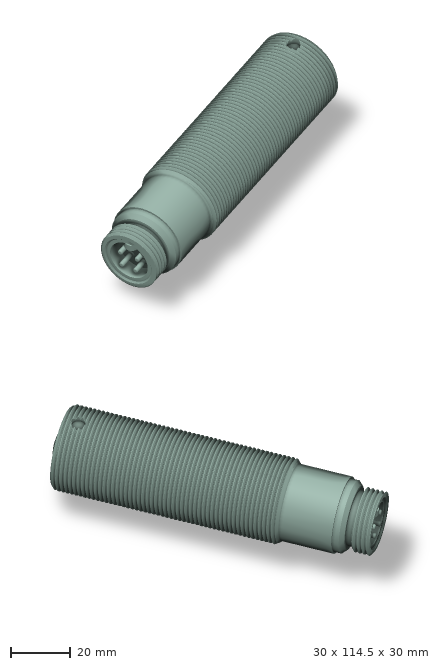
import cadquery as cq
import math

total_length = 114.5

sleeve_start = 31.0
sleeve_end = 111.7
sleeve_crest_radius = 15.0
sleeve_thread_turns = 53
sleeve_thread_depth = 1.1
sleeve_pitch = (sleeve_end - sleeve_start) / sleeve_thread_turns
sleeve_front_chamfer = 1.6
sleeve_rear_chamfer = 1.3
window_diameter = 4.8
window_from_sleeve_end = 5.7

rod_radius = 12.7
lens_radius = 8.9
lens_height = total_length - sleeve_end
barrel_radius = sleeve_crest_radius - sleeve_front_chamfer
barrel_start = 12.6
shoulder_radius = 12.7
shoulder_start = 8.7
shoulder_chamfer = 1.5
neck_radius = 9.6

connector_crest_radius = 11.2
connector_thread_length = 6.5
connector_thread_depth = 0.97
connector_pitch = 1.6
connector_crest_y = 0.1
insert_radius = 8.8
insert_recess = 0.6
socket_radius = 7.4
socket_depth = 6.3

pin_radius = 0.9
pin_tip_y = 0.1
pin_tip_fillet = 0.5
collar_radius = 1.6
collar_length = 0.6
pin_upper_half_spacing = 3.3
pin_upper_z = 2.1
pin_lower_half_spacing = 2.7
pin_lower_z = -3.3
key_radius = 2.3
key_front_y = 0.1
key_bottom_z = 5.0

crest_share = 0.1
ridge_root_share = 0.98
ridge_sink = 0.06


def turned(points):
    """Solid of revolution about Y from a closed (radius, y) outline."""
    return cq.Workplane("XY").polyline(points).close().revolve(360, (0, 0, 0), (0, 1, 0))


def cylinder_y(radius, start, end, x=0, z=0):
    """Cylinder along Y between two Y positions."""
    return cq.Workplane("XZ", origin=(x, start, z)).circle(radius).extrude(start - end)


def thread_ridge(crest_radius, depth, pitch, crest_y, turns):
    """Right-handed thread ridge about Y.

    Its crest meets the +X side at Y = crest_y, and the ridge starts one turn before that point.
    It is built upright about Z from one-turn faces, then laid along Y.
    """
    root_radius = crest_radius - depth - ridge_sink
    half_crest = pitch * crest_share / 2
    half_root = pitch * ridge_root_share / 2
    section = [
        (root_radius, -half_root),
        (crest_radius, -half_crest),
        (crest_radius, half_crest),
        (root_radius, half_root),
    ]
    helices = [
        cq.Wire.makeHelix(pitch, pitch, radius).translate(cq.Vector(0, 0, offset))
        for radius, offset in section
    ]
    one_turn = [
        cq.Face.makeRuledSurface(helix, neighbour)
        for helix, neighbour in zip(helices, helices[1:] + helices[:1])
    ]
    faces = [
        face.translate(cq.Vector(0, 0, turn * pitch))
        for turn in range(turns)
        for face in one_turn
    ]
    corners = [cq.Vector(radius, 0, offset) for radius, offset in section]
    start_cap = cq.Face.makeFromWires(cq.Wire.makePolygon(corners, close=True))
    faces += [start_cap, start_cap.translate(cq.Vector(0, 0, turns * pitch))]
    upright = cq.Solid.makeSolid(cq.Shell.makeShell(faces))
    laid_down = upright.rotate(cq.Vector(0, 0, 0), cq.Vector(1, 0, 0), -90)
    return cq.Workplane(laid_down.translate(cq.Vector(0, crest_y - pitch, 0)))


def threaded_rod(start, end, crest_radius, depth, pitch, crest_y):
    """Rod about Y with a right-handed thread, ending flat at both Y positions."""
    extra_turns = 2
    turns = math.ceil((end - start) / pitch) + extra_turns
    margin = extra_turns * pitch
    root_rod = cylinder_y(crest_radius - depth, start - margin, end + margin)
    ridge = thread_ridge(crest_radius, depth, pitch, crest_y, turns)
    span = cylinder_y(crest_radius + pitch, start, end)
    return root_rod.union(ridge, clean=False).intersect(span, clean=False)


def chamfer_cutter(end_radius, end_y, size):
    """Triangular ring for a 45 degree chamfer; it runs towards +Y for a positive size, else -Y."""
    reach = abs(size)
    return turned([
        (end_radius, end_y),
        (end_radius + reach, end_y),
        (end_radius + reach, end_y + size),
    ])


def make_sleeve():
    """Threaded tube with a chamfer at each end and a round window through its top wall."""
    rod = threaded_rod(
        sleeve_start, sleeve_end,
        sleeve_crest_radius, sleeve_thread_depth, sleeve_pitch, sleeve_start,
    )
    front_chamfer = chamfer_cutter(barrel_radius, sleeve_start, 2 * sleeve_front_chamfer)
    rear_chamfer = chamfer_cutter(
        sleeve_crest_radius - sleeve_rear_chamfer, sleeve_end, -2 * sleeve_rear_chamfer
    )
    bore = cylinder_y(rod_radius, sleeve_start, sleeve_end)
    window = (
        cq.Workplane("XY", origin=(0, sleeve_end - window_from_sleeve_end, 0))
        .circle(window_diameter / 2)
        .extrude(2 * sleeve_crest_radius)
    )
    for cutter in (front_chamfer, rear_chamfer, bore, window):
        rod = rod.cut(cutter, clean=False)
    return rod


def make_core_body():
    """Domed rod, barrel, chamfered shoulder and plain neck in one turned outline."""
    sphere_radius = (lens_radius**2 + lens_height**2) / (2 * lens_height)
    half_angle = math.asin(lens_radius / sphere_radius) / 2
    arc_middle = (
        sphere_radius * math.sin(half_angle),
        total_length - sphere_radius * (1 - math.cos(half_angle)),
    )
    return (
        cq.Workplane("XY")
        .moveTo(0, connector_thread_length)
        .lineTo(neck_radius, connector_thread_length)
        .lineTo(neck_radius, shoulder_start)
        .lineTo(shoulder_radius - shoulder_chamfer, shoulder_start)
        .lineTo(shoulder_radius, shoulder_start + shoulder_chamfer)
        .lineTo(shoulder_radius, barrel_start)
        .lineTo(barrel_radius, barrel_start)
        .lineTo(barrel_radius, sleeve_start)
        .lineTo(rod_radius, sleeve_start)
        .lineTo(rod_radius, sleeve_end)
        .lineTo(lens_radius, sleeve_end)
        .threePointArc(arc_middle, (0, total_length))
        .close()
        .revolve(360, (0, 0, 0), (0, 1, 0))
    )


def make_connector_thread():
    """Externally threaded end piece with a chamfered, recessed face."""
    rod = threaded_rod(
        0, connector_thread_length,
        connector_crest_radius, connector_thread_depth, connector_pitch, connector_crest_y,
    )
    recess = turned([
        (0, 0),
        (insert_radius + insert_recess, 0),
        (insert_radius, insert_recess),
        (0, insert_recess),
    ])
    return rod.cut(recess, clean=False)


def make_pin(x, z):
    """Round-tipped contact pin standing on a collar at the socket floor."""
    pin = cylinder_y(pin_radius, pin_tip_y, socket_depth, x, z).faces("<Y").edges().fillet(pin_tip_fillet)
    collar = cylinder_y(collar_radius, socket_depth - collar_length, socket_depth, x, z)
    return pin.union(collar)


def make_key():
    """Round-fronted key rising from its flat underside to the socket wall."""
    key_axis_y = key_front_y + key_radius
    post = (
        cq.Workplane("XY", origin=(0, 0, key_bottom_z))
        .moveTo(-key_radius, socket_depth)
        .lineTo(-key_radius, key_axis_y)
        .threePointArc((0, key_front_y), (key_radius, key_axis_y))
        .lineTo(key_radius, socket_depth)
        .close()
        .extrude(socket_radius - key_bottom_z)
    )
    return post.intersect(cylinder_y(socket_radius, 0, socket_depth))


def make_core():
    """Lens, rod, barrel and pin connector as one body."""
    core = make_core_body().union(make_connector_thread(), clean=False)
    core = core.cut(cylinder_y(socket_radius, 0, socket_depth), clean=False)
    for side in (-1, 1):
        core = core.union(make_pin(side * pin_upper_half_spacing, pin_upper_z), clean=False)
        core = core.union(make_pin(side * pin_lower_half_spacing, pin_lower_z), clean=False)
    return core.union(make_key(), clean=False)


sleeve = make_sleeve()
core = make_core()

result = cq.Compound.makeCompound([sleeve.val(), core.val()])